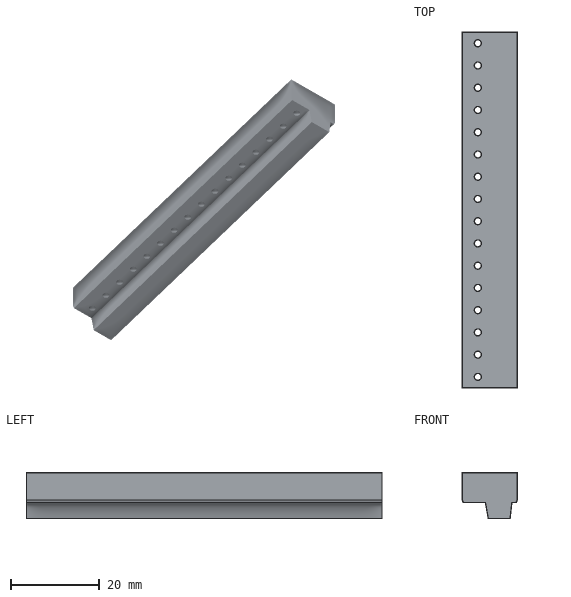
import cadquery as cq

LENGTH = 80.0
WIDTH = 12.4
BAR_HEIGHT = 6.7

CHAMFER_WIDTH = 0.2
CHAMFER_HEIGHT = 0.52

TOTAL_HEIGHT = 10.3
RAIL_TOP_LEFT = 5.2
RAIL_TOP_RIGHT = 11.2
RAIL_BOTTOM_LEFT = 5.8
RAIL_BOTTOM_RIGHT = 10.8

HOLE_COUNT = 16
HOLE_PITCH = LENGTH / HOLE_COUNT
HOLE_DIAMETER = 1.5
HOLE_X = 3.5

RAIL_HEIGHT = TOTAL_HEIGHT - BAR_HEIGHT
CHAMFER_TOP = RAIL_HEIGHT + CHAMFER_HEIGHT


def make_body():
    """Extrude the T-shaped cross-section along Y."""
    profile = [
        (0, TOTAL_HEIGHT),
        (WIDTH, TOTAL_HEIGHT),
        (WIDTH, CHAMFER_TOP),
        (WIDTH - CHAMFER_WIDTH, RAIL_HEIGHT),
        (RAIL_TOP_RIGHT, RAIL_HEIGHT),
        (RAIL_BOTTOM_RIGHT, 0),
        (RAIL_BOTTOM_LEFT, 0),
        (RAIL_TOP_LEFT, RAIL_HEIGHT),
        (CHAMFER_WIDTH, RAIL_HEIGHT),
        (0, CHAMFER_TOP),
    ]
    return cq.Workplane("XZ").polyline(profile).close().extrude(-LENGTH)


def make_holes():
    """Vertical cylinders for the hole row."""
    centres = [(HOLE_X, (i + 0.5) * HOLE_PITCH) for i in range(HOLE_COUNT)]
    return cq.Workplane("XY").pushPoints(centres).circle(HOLE_DIAMETER / 2).extrude(TOTAL_HEIGHT)


result = make_body().cut(make_holes())